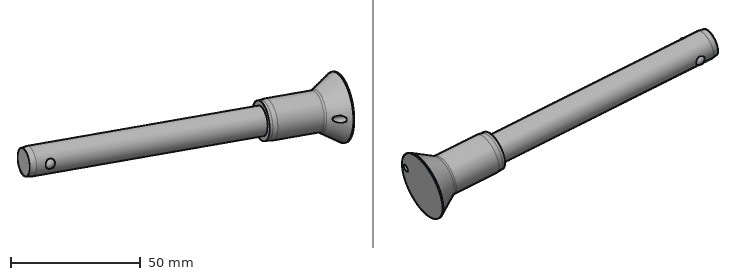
import cadquery as cq

total_length = 134.1

shank_radius = 6.0
tip_radius = 5.6
tip_taper_length = 2.5

head_radius = 14.01
rim_thickness = 0.5
flare_depth = 9.4
flare_end_radius = 8.6
sleeve_start_depth = 10.3
sleeve_radius = 8.3
sleeve_taper_depth = 30.0
collar_depth = 32.0
collar_radius = 8.0
handle_depth = 33.3

hole_diameter = 3.0
hole_offset = 11.3

ball_radius = 2.3
ball_reach = 7.2
ball_distance_from_tip = 8.6


def make_body():
    """Revolve the half profile of shank and handle about the Y axis."""
    profile = [
        (0, 0),
        (tip_radius, 0),
        (shank_radius, tip_taper_length),
        (shank_radius, total_length - handle_depth),
        (collar_radius, total_length - handle_depth),
        (collar_radius, total_length - collar_depth),
        (sleeve_radius, total_length - sleeve_taper_depth),
        (sleeve_radius, total_length - sleeve_start_depth),
        (flare_end_radius, total_length - flare_depth),
        (head_radius, total_length - rim_thickness),
        (head_radius, total_length),
        (0, total_length),
    ]
    return cq.Workplane("XY").polyline(profile).close().revolve(360, (0, 0, 0), (0, 1, 0))


def make_ball(side):
    """Locking ball protruding on the +X (side = 1) or -X (side = -1) side."""
    center_x = side * (ball_reach - ball_radius)
    return cq.Workplane("XY").sphere(ball_radius).translate((center_x, ball_distance_from_tip, 0))


def make_lanyard_hole():
    """Cutter that runs parallel to the pin through the flare and the head face."""
    return (
        cq.Workplane("XZ", origin=(0, total_length, 0))
        .center(hole_offset, 0)
        .circle(hole_diameter / 2)
        .extrude(handle_depth)
    )


result = make_body().cut(make_lanyard_hole())
for side in (-1, 1):
    result = result.union(make_ball(side))